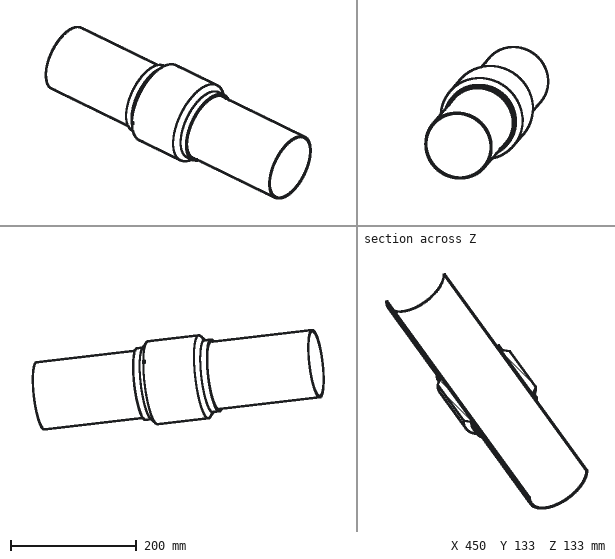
import cadquery as cq

PIPE_LENGTH = 450.0
PIPE_OUTER_DIAMETER = 108.0
PIPE_BORE_DIAMETER = 104.0

SLEEVE_LENGTH = 120.5
SLEEVE_BORE_DIAMETER = 109.0
COLLAR_DIAMETER = 115.0
COLLAR_LENGTH = 11.0
BARREL_DIAMETER = 133.0
BARREL_LENGTH = 83.0

RECESS_DIAMETER = 4.0
RECESS_DEPTH = 0.5
RECESS_X = -40.5
RECESS_Z = 1.5


def make_pipe():
    """Plain thin-walled tube along X."""
    return (
        cq.Workplane("YZ", origin=(-PIPE_LENGTH / 2, 0, 0))
        .circle(PIPE_OUTER_DIAMETER / 2)
        .circle(PIPE_BORE_DIAMETER / 2)
        .extrude(PIPE_LENGTH)
    )


def make_sleeve_blank():
    """Revolved sleeve with conical shoulders between barrel and collars."""
    half_length = SLEEVE_LENGTH / 2
    shoulder_x = half_length - COLLAR_LENGTH
    half_barrel = BARREL_LENGTH / 2
    bore_radius = SLEEVE_BORE_DIAMETER / 2
    collar_radius = COLLAR_DIAMETER / 2
    barrel_radius = BARREL_DIAMETER / 2
    profile = [
        (-half_length, bore_radius),
        (-half_length, collar_radius),
        (-shoulder_x, collar_radius),
        (-half_barrel, barrel_radius),
        (half_barrel, barrel_radius),
        (shoulder_x, collar_radius),
        (half_length, collar_radius),
        (half_length, bore_radius),
    ]
    return cq.Workplane("XY").polyline(profile).close().revolve(360, (0, 0, 0), (1, 0, 0))


def make_recess_cutter():
    """Cylinder reaching inward (+Y) from the -Y side of the barrel."""
    barrel_side = cq.Plane(
        origin=(RECESS_X, -BARREL_DIAMETER / 2, RECESS_Z), xDir=(1, 0, 0), normal=(0, 1, 0)
    )
    return cq.Workplane(barrel_side).circle(RECESS_DIAMETER / 2).extrude(RECESS_DEPTH)


pipe = make_pipe()
sleeve = make_sleeve_blank().cut(make_recess_cutter())

result = cq.Compound.makeCompound([pipe.val(), sleeve.val()])